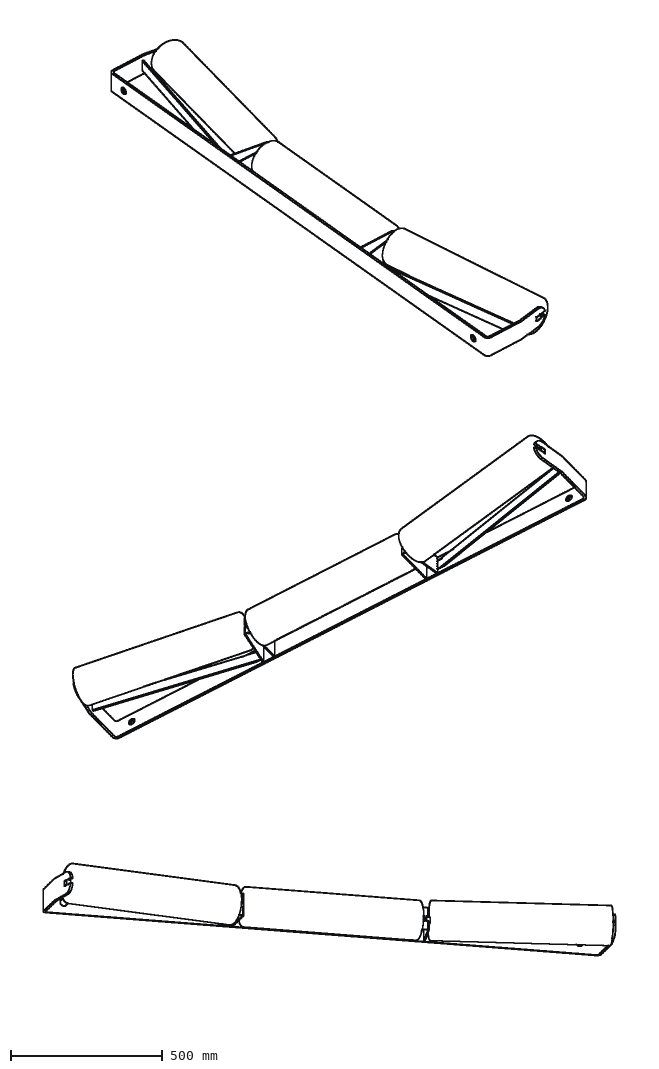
import cadquery as cq
import math

FRAME_LENGTH = 1910.0
STRIP_WIDTH = 75.0
STRIP_THICKNESS = 8.0
CORNER_RADIUS = 15.0
WALL_BEND_HEIGHT = 148.0
WALL_BEND_RADIUS = 40.0
TIP_CORNER_RADIUS = 37.0
MOUNT_HOLE_DIAMETER = 24.0
MOUNT_HOLE_X = 883.0

TROUGH_ANGLE = 10.0
ROLLER_DIAMETER = 133.0
ROLLER_LENGTH = 601.0
ROLLER_EDGE_RADIUS = 5.0
MIDDLE_AXIS_HEIGHT = 120.0
SIDE_CENTRE_X = 632.5
TOP_HEIGHT = 298.22

TONGUE_WIDTH = 17.0
TONGUE_DEPTH = 20.0
TONGUE_LENGTH = 13.0
SLOT_HEIGHT = 100.0

BRACKET_THICKNESS = 4.0
BRACKET_GAP = 4.5
BRACKET_TOP = 149.0
BRACKET_TOP_RISE = 5.0
BRACKET_BEND_RADIUS = 6.0

BRACE_WIDTH = 40.0
BRACE_THICKNESS = 6.0
BRACE_TOP = 142.0

TILT = math.radians(TROUGH_ANGLE)
ROLLER_RADIUS = ROLLER_DIAMETER / 2
HALF_ROLLER = ROLLER_LENGTH / 2
HALF_FRAME = FRAME_LENGTH / 2
SIDE_CENTRE_Y = (
    TOP_HEIGHT
    - (HALF_ROLLER - ROLLER_EDGE_RADIUS) * math.sin(TILT)
    - (ROLLER_RADIUS - ROLLER_EDGE_RADIUS) * math.cos(TILT)
    - ROLLER_EDGE_RADIUS
)


def place_side(shape, side):
    """Carry a shape from a roller's own frame to a side roller (side is -1 or 1)."""
    turned = shape.rotate((0, 0, 0), (0, 0, 1), side * TROUGH_ANGLE)
    return turned.translate((side * SIDE_CENTRE_X, SIDE_CENTRE_Y, 0))


def place_middle(shape):
    return shape.translate((0, MIDDLE_AXIS_HEIGHT, 0))


def side_point(along, across):
    """Point of the right roller's frame: along its axis from its centre, then across it."""
    return (
        SIDE_CENTRE_X + along * math.cos(TILT) - across * math.sin(TILT),
        SIDE_CENTRE_Y + along * math.sin(TILT) + across * math.cos(TILT),
    )


def extrude_profile(points, width):
    blank = cq.Workplane("XY").workplane(offset=-width / 2)
    return blank.polyline(points).close().extrude(width)


def fillet_corner(body, point, radius):
    """Round the Z-direction edge that passes through a profile corner."""
    return body.edges(cq.selectors.NearestToPointSelector((*point, 0))).fillet(radius)


def mirrored_pair(body):
    return [body, body.mirror("YZ")]


def make_roller():
    drum = cq.Workplane("YZ").workplane(offset=-HALF_ROLLER).circle(ROLLER_RADIUS).extrude(ROLLER_LENGTH)
    drum = drum.faces("<X or >X").edges().fillet(ROLLER_EDGE_RADIUS)
    tongues = cq.Workplane("XY").box(ROLLER_LENGTH + 2 * TONGUE_LENGTH, TONGUE_DEPTH, TONGUE_WIDTH)
    return drum.union(tongues)


def make_slots():
    """Cutter for both slots of one roller: flat under the tongue, open above it."""
    length = ROLLER_LENGTH + 2 * TONGUE_LENGTH
    slots = cq.Workplane("XY").box(length, SLOT_HEIGHT, TONGUE_WIDTH)
    return slots.translate((0, (SLOT_HEIGHT - TONGUE_DEPTH) / 2, 0))


def make_frame():
    t = STRIP_THICKNESS
    inside = HALF_FRAME - t
    lean_shift = t * math.tan(TILT / 2)
    tip_centre = SIDE_CENTRE_Y + HALF_ROLLER * math.sin(TILT)
    lean = (tip_centre - WALL_BEND_HEIGHT) / math.cos(TILT) + STRIP_WIDTH / 2
    tip = (HALF_FRAME - lean * math.sin(TILT), WALL_BEND_HEIGHT + lean * math.cos(TILT))
    half = extrude_profile(
        [
            (0, 0),
            (HALF_FRAME, 0),
            (HALF_FRAME, WALL_BEND_HEIGHT),
            tip,
            (tip[0] - t * math.cos(TILT), tip[1] - t * math.sin(TILT)),
            (inside, WALL_BEND_HEIGHT - lean_shift),
            (inside, t),
            (0, t),
        ],
        STRIP_WIDTH,
    )

    half = fillet_corner(half, (HALF_FRAME, 0), CORNER_RADIUS)
    half = fillet_corner(half, (inside, t), CORNER_RADIUS - t)
    half = fillet_corner(half, (HALF_FRAME, WALL_BEND_HEIGHT), WALL_BEND_RADIUS)
    half = fillet_corner(half, (inside, WALL_BEND_HEIGHT - lean_shift), WALL_BEND_RADIUS - t)
    tip_face = half.faces(cq.selectors.NearestToPointSelector((*tip, 0)))
    half = tip_face.edges("#Z").fillet(TIP_CORNER_RADIUS)

    half = half.cut(place_side(make_slots(), 1))
    hole = cq.Workplane("XZ").center(MOUNT_HOLE_X, 0).circle(MOUNT_HOLE_DIAMETER / 2).extrude(-t)
    half = half.cut(hole)
    return half.union(half.mirror("YZ"))


def bracket_arm_x(y, depth):
    """X of the bracket's leaning arm at a height; depth is measured from its roller side."""
    arm_x, arm_y = side_point(-HALF_ROLLER - BRACKET_GAP, 0)
    return arm_x - depth / math.cos(TILT) - (y - arm_y) * math.tan(TILT)


def make_bracket():
    """Inverted U between the middle roller and the right roller."""
    t = BRACKET_THICKNESS
    base = STRIP_THICKNESS
    inner_x = HALF_ROLLER + BRACKET_GAP
    high = BRACKET_TOP + BRACKET_TOP_RISE / 2
    low = BRACKET_TOP - BRACKET_TOP_RISE / 2
    profile = [
        (inner_x, base),
        (inner_x, low),
        (bracket_arm_x(high, 0), high),
        (bracket_arm_x(base, 0), base),
        (bracket_arm_x(base, t), base),
        (bracket_arm_x(high - t, t), high - t),
        (inner_x + t, low - t),
        (inner_x + t, base),
    ]
    bracket = extrude_profile(profile, STRIP_WIDTH)
    for x, y in (profile[1], profile[2]):
        bracket = fillet_corner(bracket, (x, y), BRACKET_BEND_RADIUS)
    bracket = bracket.cut(place_middle(make_slots()))
    return bracket.cut(place_side(make_slots(), 1))


def make_brace():
    """Diagonal bar from the foot of the leaning bracket arm up to the right wall."""
    wall_x = HALF_FRAME - STRIP_THICKNESS
    base = STRIP_THICKNESS
    foot_x = bracket_arm_x(base, 0)
    slope = math.atan2(BRACE_TOP - base, wall_x - foot_x)
    profile = [
        (foot_x, base),
        (wall_x, BRACE_TOP),
        (wall_x, BRACE_TOP - BRACE_THICKNESS / math.cos(slope)),
        (foot_x + BRACE_THICKNESS / math.sin(slope), base),
    ]
    return extrude_profile(profile, BRACE_WIDTH)


roller = make_roller()
bodies = [make_frame(), place_middle(roller)]
bodies += [place_side(roller, side) for side in (-1, 1)]
bodies += mirrored_pair(make_bracket())
bodies += mirrored_pair(make_brace())
result = cq.Compound.makeCompound([solid for body in bodies for solid in body.solids().vals()])